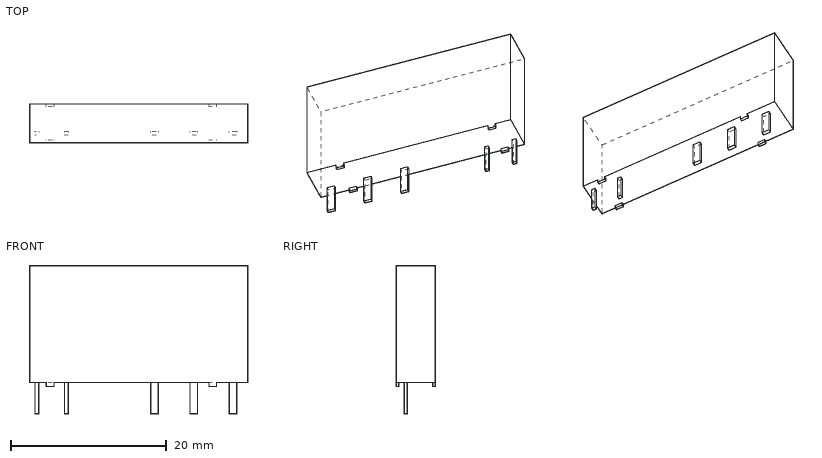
import cadquery as cq

body_length = 28.0
body_width = 5.0
body_height = 15.0

pin_length = 4.0
pin_thickness = 0.42
pin_row_y = -1.3
coil_pin_width = 0.5
contact_pin_width = 1.0
first_coil_pin_x = -13.08
coil_pin_pitch = 3.78
first_contact_pin_x = 2.02
contact_pin_pitch = 5.05

coil_pin_places = [first_coil_pin_x + i * coil_pin_pitch for i in range(2)]
contact_pin_places = [first_contact_pin_x + i * contact_pin_pitch for i in range(3)]

foot_length = 1.0
foot_thickness = 0.35
foot_height = 0.5
foot_places = [-11.37, 9.5]
foot_offset_y = (body_width - foot_thickness) / 2


def hanging_block(x, y, length, width, depth):
    """Return a block centred on (x, y) that hangs from the housing underside."""
    block = cq.Workplane("XY").box(length, width, depth, centered=(True, True, False))
    return block.translate((x, y, -depth))


result = cq.Workplane("XY").box(
    body_length, body_width, body_height, centered=(True, True, False)
)

for x in coil_pin_places:
    result = result.union(hanging_block(x, pin_row_y, coil_pin_width, pin_thickness, pin_length))

for x in contact_pin_places:
    result = result.union(hanging_block(x, pin_row_y, contact_pin_width, pin_thickness, pin_length))

for x in foot_places:
    for y in (-foot_offset_y, foot_offset_y):
        result = result.union(hanging_block(x, y, foot_length, foot_thickness, foot_height))